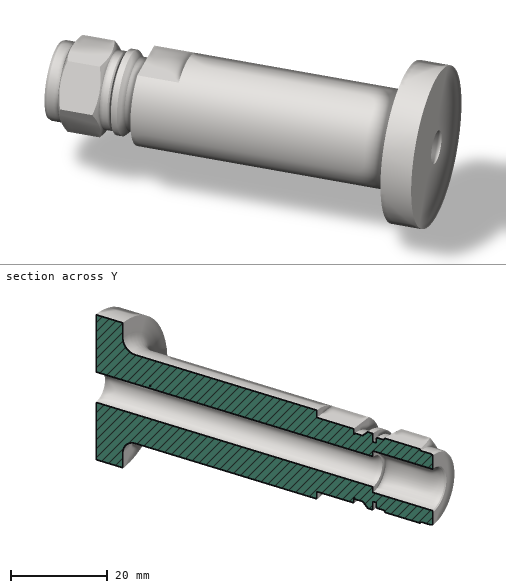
import cadquery as cq
import math

length = 82.5
hex_start = 3.0
hex_end = 12.05
collar_end = 14.0
groove_end = 14.7
rim_end = 16.0
cone_end = 17.25
body_start = 19.4
flats_end = 28.4
flange_start = 75.8

nose_diameter = 17.0
collar_diameter = 16.8
groove_diameter = 14.3
rim_diameter = 18.2
neck_diameter = 15.8
body_diameter = 21.1
flange_diameter = 34.5

across_flats = 17.65
hex_chamfer_angle = 30.0
nose_chamfer_length = 0.6
nose_chamfer_depth = 0.25
collar_chamfer = 0.3
neck_chamfer = 0.3
flange_fillet = 3.0

through_diameter = 7.1
socket_diameter = 9.7
socket_depth = groove_end
mouth_chamfer = 0.25


def cylinder(start, end, diameter):
    """Solid cylinder on the X axis between two positions."""
    return cq.Workplane("YZ", origin=(start, 0, 0)).circle(diameter / 2).extrude(end - start)


def turned_body():
    """Full turned outline: nose, collar, groove, rim, neck, body and flange."""
    nose_radius = nose_diameter / 2
    collar_radius = collar_diameter / 2
    groove_radius = groove_diameter / 2
    rim_radius = rim_diameter / 2
    neck_radius = neck_diameter / 2
    body_radius = body_diameter / 2
    flange_radius = flange_diameter / 2
    fillet_corner = flange_fillet * (1 - math.sqrt(0.5))
    return (
        cq.Workplane("XY")
        .moveTo(0, 0)
        .lineTo(0, nose_radius - nose_chamfer_depth)
        .lineTo(nose_chamfer_length, nose_radius)
        .lineTo(hex_start, nose_radius)
        .lineTo(hex_start, collar_radius)
        .lineTo(collar_end - collar_chamfer, collar_radius)
        .lineTo(collar_end, collar_radius - collar_chamfer)
        .lineTo(collar_end, groove_radius)
        .lineTo(groove_end, groove_radius)
        .lineTo(groove_end, rim_radius)
        .lineTo(rim_end, rim_radius)
        .lineTo(cone_end, neck_radius)
        .lineTo(body_start - neck_chamfer, neck_radius)
        .lineTo(body_start, neck_radius - neck_chamfer)
        .lineTo(body_start, body_radius)
        .lineTo(flange_start - flange_fillet, body_radius)
        .threePointArc(
            (flange_start - fillet_corner, body_radius + fillet_corner),
            (flange_start, body_radius + flange_fillet),
        )
        .lineTo(flange_start, flange_radius)
        .lineTo(length, flange_radius)
        .lineTo(length, 0)
        .close()
        .revolve(360, (0, 0, 0), (1, 0, 0))
    )


def nut_hexagon():
    """Hexagon with flats facing +Z and -Z, its corners turned off conically at both ends."""
    corner_radius = across_flats / math.sqrt(3)
    end_radius = collar_diameter / 2
    chamfer = (corner_radius - end_radius) * math.tan(math.radians(hex_chamfer_angle))
    hexagon = (
        cq.Workplane("YZ", origin=(hex_start, 0, 0))
        .polygon(6, 2 * corner_radius)
        .extrude(hex_end - hex_start)
    )
    turned_limit = (
        cq.Workplane("XY")
        .moveTo(hex_start, 0)
        .lineTo(hex_start, end_radius)
        .lineTo(hex_start + chamfer, corner_radius)
        .lineTo(hex_end - chamfer, corner_radius)
        .lineTo(hex_end, end_radius)
        .lineTo(hex_end, 0)
        .close()
        .revolve(360, (0, 0, 0), (1, 0, 0))
    )
    return hexagon.intersect(turned_limit)


def cut_body_flats(part):
    """Mill two parallel wrench flats on the front end of the body."""
    flat_length = flats_end - body_start
    for side in (1, -1):
        cutter = cq.Workplane("XY").box(flat_length, body_diameter, body_diameter).translate(
            (body_start + flat_length / 2, 0, side * (across_flats + body_diameter) / 2)
        )
        part = part.cut(cutter)
    return part


def cut_bores(part):
    """Through bore, wider tube socket and the chamfer at its mouth."""
    socket_radius = socket_diameter / 2
    mouth = (
        cq.Workplane("XY")
        .lineTo(0, socket_radius + mouth_chamfer)
        .lineTo(mouth_chamfer, socket_radius)
        .lineTo(mouth_chamfer, 0)
        .close()
        .revolve(360, (0, 0, 0), (1, 0, 0))
    )
    part = part.cut(cylinder(0, length, through_diameter))
    part = part.cut(cylinder(0, socket_depth, socket_diameter))
    return part.cut(mouth)


result = turned_body().union(nut_hexagon())
result = cut_body_flats(result)
result = cut_bores(result)